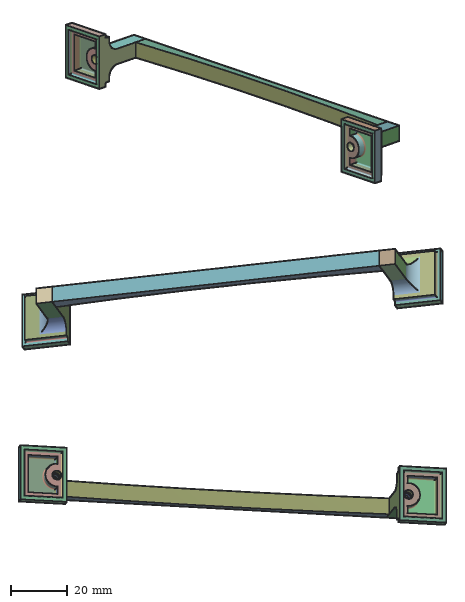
import cadquery as cq
import math

overall_length = 155.0
overall_depth = 23.5
base_height = 20.0

base_width = 16.9
base_thickness = 3.3
tier_setback = 1.5
tier_thickness = 1.9
tier_top = base_thickness + tier_thickness
step_fillet = 0.5

post_size = 5.9
flare_radius = 4.0
flare_top = tier_top + flare_radius

rim_width = 1.47
rim_depth = 1.2
pocket_inset = 3.1
pocket_depth = 4.3

boss_radius = 4.2
boss_inset = 3.4
bore_diameter = 3.3
bore_depth = 3.1
pilot_diameter = 2.5
pilot_depth = 6.2
drill_point_angle = 118.0

bar_end_thickness = 5.1
bar_arch_rise = 2.0

outer_x = -overall_length / 2
inner_x = outer_x + base_width


def block(x_min, x_max, y_min, y_max, height):
    """Box between the given X and Y limits, centred on Z = 0."""
    box = cq.Workplane("XY").box(x_max - x_min, y_max - y_min, height, centered=(False, False, True))
    return box.translate((x_min, y_min, 0))


def make_base():
    """Plate with a smaller tier behind it, flush on the inner side and filleted at the step."""
    plate = block(outer_x, inner_x, 0, base_thickness, base_height)
    tier = block(outer_x + tier_setback, inner_x, base_thickness, tier_top, base_height - 2 * tier_setback)
    step_edges = cq.selectors.BoxSelector(
        (outer_x + tier_setback / 2, base_thickness - step_fillet, -base_height / 2 + tier_setback / 2),
        (inner_x - step_fillet, base_thickness + step_fillet, base_height / 2 - tier_setback / 2),
    )
    return plate.union(tier).edges(step_edges).fillet(step_fillet)


def make_post():
    """Square post whose neck flares with quarter arcs on its outer, upper and lower sides."""
    arc_offset = flare_radius * (1 - math.sqrt(0.5))
    arc_mid_y = tier_top + arc_offset
    post_outer_x = inner_x - post_size
    half_post = post_size / 2

    plan = (
        cq.Workplane("XY")
        .moveTo(inner_x, tier_top)
        .lineTo(inner_x, overall_depth)
        .lineTo(post_outer_x, overall_depth)
        .lineTo(post_outer_x, flare_top)
        .threePointArc((post_outer_x - arc_offset, arc_mid_y), (post_outer_x - flare_radius, tier_top))
        .close()
        .extrude(base_height / 2, both=True)
    )
    side = (
        cq.Workplane("YZ", origin=(outer_x, 0, 0))
        .moveTo(overall_depth, half_post)
        .lineTo(flare_top, half_post)
        .threePointArc((arc_mid_y, half_post + arc_offset), (tier_top, half_post + flare_radius))
        .lineTo(tier_top, -half_post - flare_radius)
        .threePointArc((arc_mid_y, -half_post - arc_offset), (flare_top, -half_post))
        .lineTo(overall_depth, -half_post)
        .close()
        .extrude(base_width)
    )
    return plan.intersect(side)


def fillet_floor(cutter):
    """Round the floor edges of a cutter that enters from the mounting face."""
    return cutter.faces(">Y").edges().fillet(step_fillet)


def make_cavity():
    """Cutter for the wide cavity just inside the rim."""
    height = base_height - 2 * rim_width
    return fillet_floor(block(outer_x + rim_width, inner_x - rim_width, 0, rim_depth, height))


def make_pocket():
    """Cutter for the deeper pocket, leaving a round screw boss level with the ledge."""
    height = base_height - 2 * pocket_inset
    pocket = block(outer_x + pocket_inset, inner_x - pocket_inset, rim_depth, pocket_depth, height)
    boss = cq.Workplane("XZ", origin=(inner_x - boss_inset, 0, 0)).circle(boss_radius).extrude(-tier_top)
    return fillet_floor(pocket.cut(boss))


def make_screw_hole():
    """Cutter for the stepped blind hole: a bore, then a pilot hole with a conical drill point."""
    bore_radius = bore_diameter / 2
    pilot_radius = pilot_diameter / 2
    point_length = pilot_radius / math.tan(math.radians(drill_point_angle / 2))
    return (
        cq.Workplane("XY")
        .lineTo(bore_radius, 0)
        .lineTo(bore_radius, bore_depth)
        .lineTo(pilot_radius, bore_depth)
        .lineTo(pilot_radius, pilot_depth)
        .lineTo(0, pilot_depth + point_length)
        .close()
        .revolve(360, (0, 0, 0), (0, 1, 0))
        .translate((inner_x - boss_inset, rim_depth, 0))
    )


def make_foot():
    """Left foot: base and post in one piece, hollowed from the mounting face."""
    return (
        make_base()
        .union(make_post())
        .cut(make_cavity())
        .cut(make_pocket())
        .cut(make_screw_hole())
    )


def make_bar():
    """Bar spanning the posts, flat on its far face and arched on the side toward the mounting plane."""
    bar_front = overall_depth - bar_end_thickness
    return (
        cq.Workplane("XY")
        .moveTo(inner_x, overall_depth)
        .lineTo(-inner_x, overall_depth)
        .lineTo(-inner_x, bar_front)
        .threePointArc((0, bar_front + bar_arch_rise), (inner_x, bar_front))
        .close()
        .extrude(post_size / 2, both=True)
    )


left_foot = make_foot().solids()
right_foot = left_foot.mirror("YZ")
bar = make_bar().solids()

result = cq.Compound.makeCompound([left_foot.val(), right_foot.val(), bar.val()])